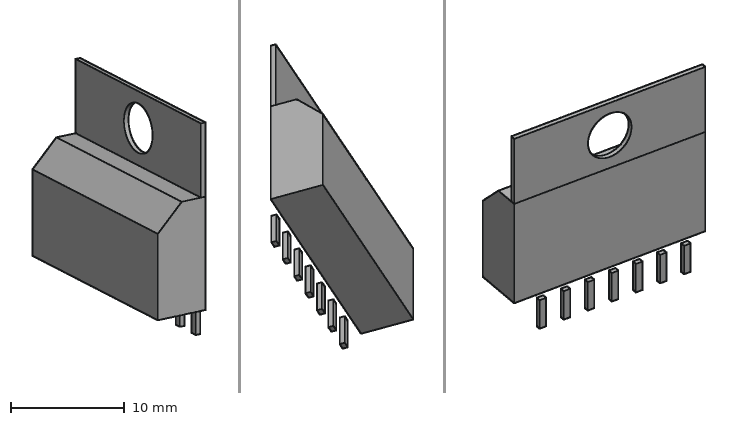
import cadquery as cq

width = 20.2
housing_depth = 5.0
housing_height = 10.55
chamfer_size = 2.5

total_height = 20.5
tab_thickness = 0.5
hole_diameter = 4.6
hole_below_tab_top = 3.45

pin_count = 7
pin_pitch = 2.55
pin_width = 0.7
pin_thickness = 0.5
total_depth = 5.85
tab_height = 6.9
pin_length = total_height - tab_height - housing_height

pin_back_y = total_depth - housing_depth


def make_housing():
    return (
        cq.Workplane("XY")
        .box(width, housing_depth, housing_height, centered=(True, False, False))
        .translate((0, -housing_depth, 0))
        .edges("<Y and >Z")
        .chamfer(chamfer_size)
    )


def make_tab():
    plate = (
        cq.Workplane("XY")
        .box(width, tab_thickness, tab_height, centered=(True, False, False))
        .translate((0, -tab_thickness, housing_height))
    )
    hole_z = housing_height + tab_height - hole_below_tab_top
    hole = (
        cq.Workplane("XZ")
        .center(0, hole_z)
        .circle(hole_diameter / 2)
        .extrude(tab_thickness)
    )
    return plate.cut(hole)


def make_pin(x):
    return (
        cq.Workplane("XY")
        .box(pin_width, pin_thickness, pin_length, centered=(True, False, False))
        .translate((x, pin_back_y - pin_thickness, -pin_length))
    )


housing = make_housing()
tab = make_tab()

pins = []
for index in range(pin_count):
    pin_x = (index - (pin_count - 1) / 2) * pin_pitch
    pins.append(make_pin(pin_x).val())

result = cq.Compound.makeCompound([housing.val(), tab.val(), *pins])